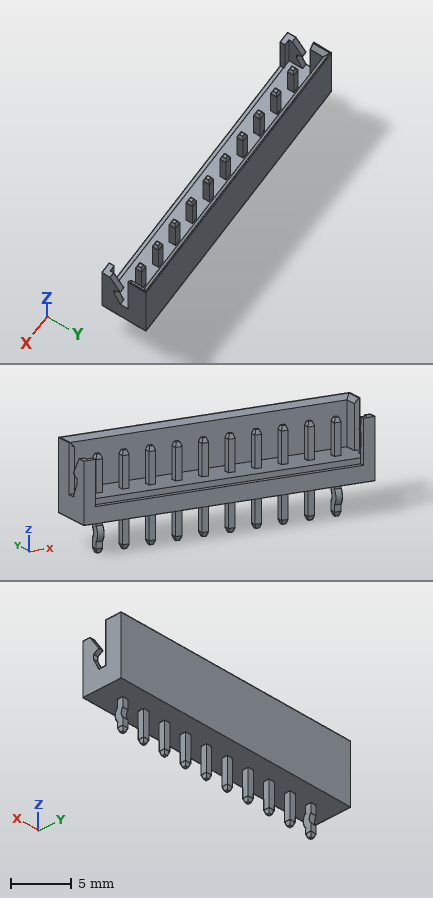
import cadquery as cq


length = 27.5
depth = 4.4
height = 6.5
wall = 0.5
end_wall = 0.52
floor_z = 2.0
back_y = depth / 2
front_y = -depth / 2

shroud_depth = 1.8
arm_top_z = 5.55
slot_back_y = back_y - shroud_depth
slot_front_y = -0.35
latch_recess_y = -0.95
latch_recess_low_z = 3.22
latch_recess_high_z = 3.7
latch_tip_y = slot_front_y
latch_tip_z = 4.05
arm_top_y = -1.38

window_side_margin = 1.1
window_bottom_z = 1.48

rim = 0.1
bevel_height = 0.45

pin_count = 10
pin_pitch = 2.5
pin_width = 0.63
pin_top_z = 5.3
pin_bottom_z = -3.22
tip_length = 0.4
tip_width = 0.33

kink_z = -1.5
bulge_half_height = 0.7
bulge_rise = 0.25
hollow_half_height = 0.5
hollow_rise = 0.2


def make_housing():
    """End-wall profile run along the full length, then hollowed out."""
    profile = [
        (front_y, 0),
        (back_y, 0),
        (back_y, height),
        (slot_back_y, height),
        (slot_back_y, floor_z),
        (slot_front_y, floor_z),
        (latch_recess_y, latch_recess_low_z),
        (latch_recess_y, latch_recess_high_z),
        (latch_tip_y, latch_tip_z),
        (arm_top_y, arm_top_z),
        (front_y, arm_top_z),
    ]
    block = cq.Workplane("YZ").polyline(profile).close().extrude(length / 2, both=True)
    return block.cut(make_cavity()).cut(make_window()).cut(make_lead_in())


def make_cavity():
    """Rectangular well inside the four walls."""
    return (
        cq.Workplane("XY", origin=(0, 0, floor_z))
        .rect(length - 2 * end_wall, depth - 2 * wall)
        .extrude(height - floor_z)
    )


def make_window():
    """Opening through the front wall, leaving a latch arm at each end."""
    return (
        cq.Workplane("XY", origin=(0, front_y + wall / 2, window_bottom_z))
        .rect(length - 2 * window_side_margin, wall)
        .extrude(height - window_bottom_z)
    )


def make_lead_in():
    """Tapered cutter that bevels the back and side walls of the shroud."""
    return (
        cq.Workplane("XY", origin=(0, 0, height - bevel_height))
        .rect(length - 2 * end_wall, depth - 2 * wall)
        .workplane(offset=bevel_height)
        .rect(length - 2 * rim, depth - 2 * rim)
        .loft(ruled=True)
    )


def make_tip(shoulder_z, end_z):
    """Square taper from the pin shank to its blunt end."""
    return (
        cq.Workplane("XY", origin=(0, 0, shoulder_z))
        .rect(pin_width, pin_width)
        .workplane(offset=end_z - shoulder_z)
        .rect(tip_width, tip_width)
        .loft(ruled=True)
    )


def make_pin():
    """Straight square pin, tapered at both ends."""
    lower_z = pin_bottom_z + tip_length
    upper_z = pin_top_z - tip_length
    shank = cq.Workplane("XY", origin=(0, 0, lower_z)).rect(pin_width, pin_width).extrude(upper_z - lower_z)
    return shank.union(make_tip(upper_z, pin_top_z)).union(make_tip(lower_z, pin_bottom_z))


def make_arc_segment(face_y, half_height, rise):
    """Circular segment rising forward from a pin face, as wide as the pin."""
    return (
        cq.Workplane("YZ")
        .moveTo(face_y, kink_z - half_height)
        .threePointArc((face_y - rise, kink_z), (face_y, kink_z + half_height))
        .close()
        .extrude(pin_width / 2, both=True)
    )


def make_kinked_pin():
    """Pin whose tail bulges forward, with a matching hollow behind."""
    bulge = make_arc_segment(-pin_width / 2, bulge_half_height, bulge_rise)
    hollow = make_arc_segment(pin_width / 2, hollow_half_height, hollow_rise)
    return make_pin().union(bulge).cut(hollow)


result = make_housing()
last = pin_count - 1
for index in range(pin_count):
    pin = make_kinked_pin() if index in (0, last) else make_pin()
    result = result.union(pin.translate(((index - last / 2) * pin_pitch, 0, 0)))